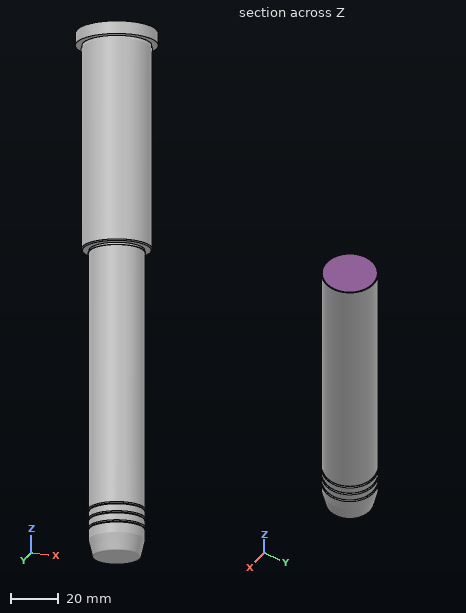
import cadquery as cq

TOTAL_LENGTH = 231.0
HEAD_DIAMETER = 35.0
HEAD_HEIGHT = 6.0
HEAD_CHAMFER = 0.5
SHANK_DIAMETER = 30.0
SHANK_LENGTH = 90.0
SHANK_CHAMFER = 0.5
GUIDE_DIAMETER = 24.0

RELIEF_DEPTH = 0.3
HEAD_RELIEF_WIDTH = 1.5
HEAD_RELIEF_TAPER = 1.0
GUIDE_RELIEF_WIDTH = 1.0

GROOVE_COUNT = 3
GROOVE_WIDTH = 1.0
GROOVE_DEPTH = 0.4
GROOVE_PITCH = 4.0
LOWEST_GROOVE_CENTER = 12.5

LEAD_LENGTH = 7.5
LEAD_END_RADIUS = 10.2
TIP_ROUND = 0.75

head_radius = HEAD_DIAMETER / 2
shank_radius = SHANK_DIAMETER / 2
guide_radius = GUIDE_DIAMETER / 2
head_bottom = TOTAL_LENGTH - HEAD_HEIGHT
shank_bottom = head_bottom - SHANK_LENGTH


def revolved(outline):
    """Solid of revolution about Z from a closed list of (radius, height) points."""
    return cq.Workplane("XZ").polyline(outline).close().revolve(360, (0, 0, 0), (0, 1, 0))


def make_head():
    """Flat head with a chamfered top edge."""
    head = cq.Workplane("XY", origin=(0, 0, head_bottom)).circle(head_radius).extrude(HEAD_HEIGHT)
    return head.faces(">Z").edges().chamfer(HEAD_CHAMFER)


def make_shank():
    """Thick shank with a chamfered lower edge and a tapered relief under the head."""
    relief_radius = shank_radius - RELIEF_DEPTH
    relief_bottom = head_bottom - HEAD_RELIEF_WIDTH
    return revolved([
        (0, shank_bottom),
        (shank_radius - SHANK_CHAMFER, shank_bottom),
        (shank_radius, shank_bottom + SHANK_CHAMFER),
        (shank_radius, relief_bottom),
        (relief_radius, relief_bottom + HEAD_RELIEF_TAPER),
        (relief_radius, head_bottom),
        (0, head_bottom),
    ])


def make_guide():
    """Thin guide length with a square relief under the shank and a conical lead-in."""
    relief_radius = guide_radius - RELIEF_DEPTH
    relief_bottom = shank_bottom - GUIDE_RELIEF_WIDTH
    guide = revolved([
        (0, 0),
        (LEAD_END_RADIUS, 0),
        (guide_radius, LEAD_LENGTH),
        (guide_radius, relief_bottom),
        (relief_radius, relief_bottom),
        (relief_radius, shank_bottom),
        (0, shank_bottom),
    ])
    return guide.faces("<Z").edges().fillet(TIP_ROUND)


def make_groove(center):
    """Ring to remove for one V groove centred at the given height."""
    return revolved([
        (guide_radius - GROOVE_DEPTH, center),
        (guide_radius, center - GROOVE_WIDTH / 2),
        (guide_radius + GROOVE_DEPTH, center),
        (guide_radius, center + GROOVE_WIDTH / 2),
    ])


result = make_head().union(make_shank()).union(make_guide())
for groove_index in range(GROOVE_COUNT):
    result = result.cut(make_groove(LOWEST_GROOVE_CENTER + groove_index * GROOVE_PITCH))